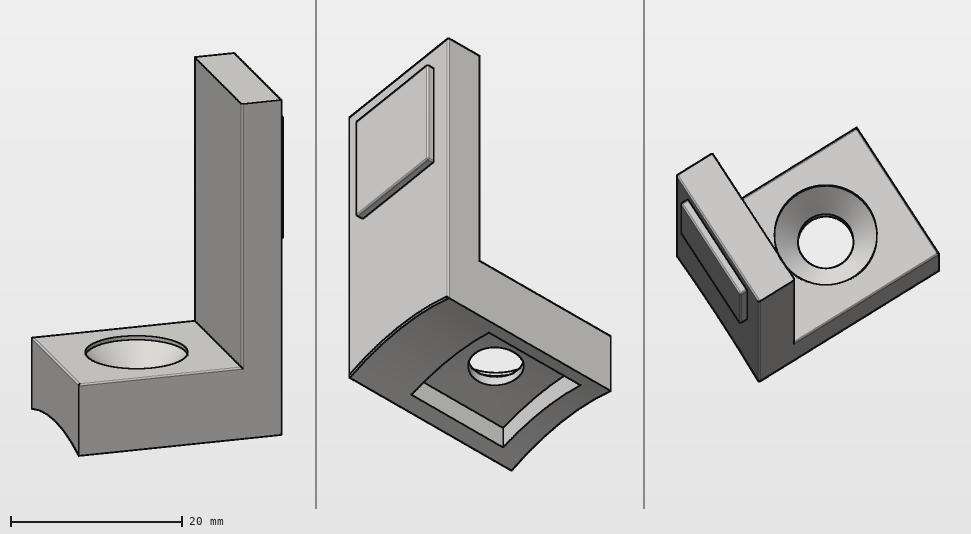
import cadquery as cq
import math

WIDTH = 18.0
DEPTH = 25.0
HEIGHT = 41.35

WALL_THICKNESS = 5.0
SADDLE_RADIUS = 30.0
BASE_THICKNESS = 7.5
SADDLE_RISE = SADDLE_RADIUS - math.sqrt(SADDLE_RADIUS**2 - (WIDTH / 2) ** 2)
FLOOR_Z = SADDLE_RISE + BASE_THICKNESS
BASE_LENGTH = DEPTH - WALL_THICKNESS

EDGE_RADIUS = 0.2

HOLE_DIAMETER = 6.5
SINK_DIAMETER = 12.0
SINK_RECESS = 0.5
SINK_ANGLE = 90.0
HOLE_Y = BASE_LENGTH / 2

POCKET_WALL = 2.0
POCKET_SIDE = WIDTH - 2 * POCKET_WALL
POCKET_DEPTH = 3.0

PAD_WIDTH = 13.0
PAD_HEIGHT = 15.0
PAD_THICKNESS = 1.0
PAD_TOP_GAP = 3.0


def box_between(x_size, y_min, y_max, z_min, z_max):
    """Box centred on X = 0 between the given Y and Z limits."""
    return cq.Workplane("XY").box(
        x_size, y_max - y_min, z_max - z_min, centered=(True, False, False)
    ).translate((0, y_min, z_min))


def make_base():
    base = box_between(WIDTH, 0, DEPTH, 0, FLOOR_Z)
    return base.faces(">Z").edges("<Y or <X or >X").fillet(EDGE_RADIUS)


def make_wall():
    wall = box_between(WIDTH, BASE_LENGTH, DEPTH, 0, HEIGHT)
    wall = wall.faces("<Y").edges("|Z").fillet(EDGE_RADIUS)
    foot_top = FLOOR_Z - EDGE_RADIUS
    return wall.union(box_between(WIDTH, BASE_LENGTH, DEPTH, 0, foot_top))


def cylinder_about_saddle_axis(radius):
    """Cylinder along Y, on the axis of the saddle that hollows the underside."""
    axis_z = SADDLE_RISE - SADDLE_RADIUS
    return cq.Workplane("XZ").center(0, axis_z).circle(radius).extrude(-DEPTH)


def make_screw_hole_cutter():
    """Through hole, cone and short straight recess, revolved about the hole axis."""
    hole_radius = HOLE_DIAMETER / 2
    sink_radius = SINK_DIAMETER / 2
    cone_depth = (sink_radius - hole_radius) / math.tan(math.radians(SINK_ANGLE / 2))
    cone_top_z = FLOOR_Z - SINK_RECESS
    profile = (
        cq.Workplane("XZ")
        .moveTo(0, 0)
        .lineTo(hole_radius, 0)
        .lineTo(hole_radius, cone_top_z - cone_depth)
        .lineTo(sink_radius, cone_top_z)
        .lineTo(sink_radius, FLOOR_Z)
        .lineTo(0, FLOOR_Z)
        .close()
    )
    return profile.revolve(360, (0, 0), (0, 1)).translate((0, HOLE_Y, 0))


def make_pocket_cutter():
    """Square pocket centred on the screw hole, with a ceiling concentric with the saddle."""
    half_side = POCKET_SIDE / 2
    walls = box_between(POCKET_SIDE, HOLE_Y - half_side, HOLE_Y + half_side, 0, FLOOR_Z)
    return walls.intersect(cylinder_about_saddle_axis(SADDLE_RADIUS + POCKET_DEPTH))


def make_bracket():
    bracket = make_base().union(make_wall())
    bracket = bracket.cut(cylinder_about_saddle_axis(SADDLE_RADIUS))
    bracket = bracket.faces(">Y").edges().fillet(EDGE_RADIUS)
    return bracket.cut(make_screw_hole_cutter()).cut(make_pocket_cutter())


def make_pad():
    pad_top = HEIGHT - PAD_TOP_GAP
    pad = box_between(PAD_WIDTH, DEPTH, DEPTH + PAD_THICKNESS, pad_top - PAD_HEIGHT, pad_top)
    return pad.edges("|Y or >Y").fillet(EDGE_RADIUS)


bracket = make_bracket()
pad = make_pad()

result = cq.Compound.makeCompound([bracket.val(), pad.val()])